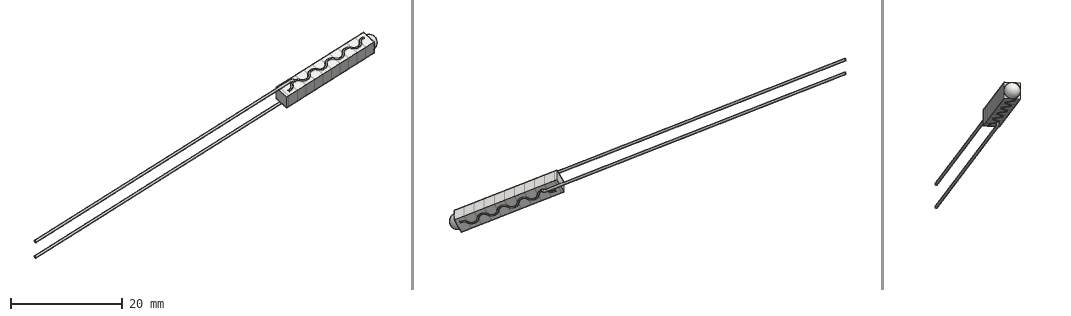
import cadquery as cq
import math

overall_length = 79.1
overall_height = 4.75
bar_width = 3.0
segment_count = 10
segment_length = 2.0
end_plate_length = 0.5
wave_offset = 0.57
element_exposure = 0.05
wire_diameter = 0.5

half_width = bar_width / 2
half_segment = segment_length / 2
element_axis_z = half_width + element_exposure - wire_diameter / 2
lead_axis_z = overall_height / 2 - wire_diameter / 2
lead_segment = segment_count - 2
lead_foot_y = -(lead_segment + 0.5) * segment_length
lead_straight_y = lead_foot_y - half_segment
lead_end_y = half_width - overall_length
bend_radius = half_segment


def block(start_y, length):
    """Square block that starts at start_y and runs toward -Y."""
    return cq.Workplane("XZ", origin=(0, start_y, 0)).rect(bar_width, bar_width).extrude(length)


def make_housing():
    """Bar of equal segments with a round tip; the seams between segments stay as face edges."""
    bar = block(0, segment_length)
    for index in range(1, segment_count):
        bar = bar.union(block(-index * segment_length, segment_length), clean=False)
    bar = bar.union(block(-segment_count * segment_length, end_plate_length), clean=False)
    tip = (
        cq.Workplane("XY")
        .moveTo(0, half_width)
        .lineTo(0, 0)
        .lineTo(half_width, 0)
        .radiusArc((0, half_width), -half_width)
        .close()
        .revolve(360, (0, 0, 0), (0, 1, 0))
    )
    return bar.union(tip, clean=False)


def make_element():
    """Wire that winds from the first to the last mid-segment, its crest just above the top face."""
    arc_radius = (half_segment**2 + wave_offset**2) / (2 * wave_offset)
    half_angle = math.asin(half_segment / arc_radius) / 2
    quarter_x = wave_offset - arc_radius * (1 - math.cos(half_angle))
    quarter_y = arc_radius * math.sin(half_angle)

    first_y = -half_segment
    start_y = first_y + wire_diameter / 2
    last_y = first_y - (segment_count - 1) * segment_length
    path = cq.Workplane("XY", origin=(0, 0, element_axis_z)).moveTo(-wave_offset, start_y)
    path = path.lineTo(-wave_offset, first_y)
    path = path.threePointArc((-quarter_x, first_y - quarter_y), (0, -segment_length))
    for index in range(1, segment_count - 1):
        side = 1 if index % 2 else -1
        middle = (side * wave_offset, -(index + 0.5) * segment_length)
        path = path.threePointArc(middle, (0, -(index + 1) * segment_length))
    path = path.threePointArc((quarter_x, last_y + quarter_y), (wave_offset, last_y))
    path = path.lineTo(wave_offset, last_y - wire_diameter / 2)
    start = cq.Workplane("XZ", origin=(-wave_offset, start_y, element_axis_z))
    return start.circle(wire_diameter / 2).sweep(path)


def make_lead(housing, element):
    """Round lead that bends up from the top face, straddles the element and runs straight to -Y."""
    bend_z = lead_axis_z - bend_radius
    diagonal = bend_radius * math.sqrt(0.5)
    path = (
        cq.Workplane("YZ", origin=(-wave_offset, 0, 0))
        .moveTo(lead_end_y, lead_axis_z)
        .lineTo(lead_straight_y, lead_axis_z)
        .threePointArc((lead_straight_y + diagonal, bend_z + diagonal), (lead_foot_y, bend_z))
    )
    end = cq.Workplane("XZ", origin=(-wave_offset, lead_end_y, lead_axis_z))
    return end.circle(wire_diameter / 2).sweep(path).cut(housing).cut(element)


def below(body):
    """Copy of a body mirrored to the bottom face."""
    return body.mirror("XY")


solid_bar = make_housing()
top_element = make_element()
top_lead = make_lead(solid_bar, top_element)

elements = [top_element, below(top_element)]
leads = [top_lead, below(top_lead)]

housing = solid_bar
for element in elements:
    housing = housing.cut(element, clean=False)

bodies = [housing, *elements, *leads]
result = cq.Compound.makeCompound([body.solids().val() for body in bodies])